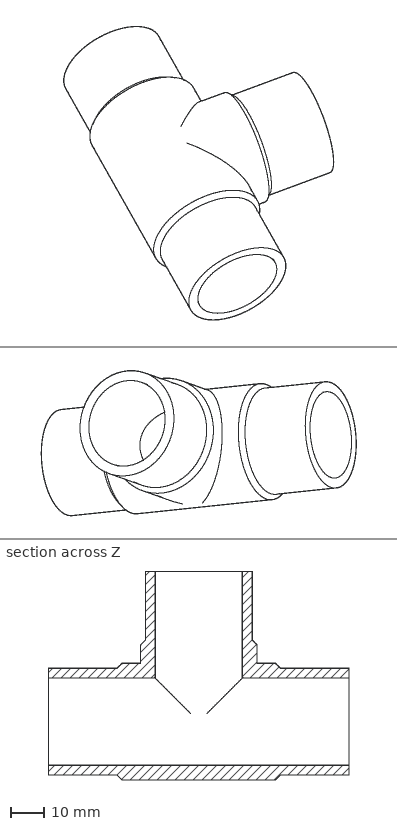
import cadquery as cq

run_length = 90.0
spigot_length = 20.5
spigot_diameter = 32.0
body_diameter = 35.0
bore_diameter = 26.0

arm_length = run_length / 2
shoulder_distance = arm_length - spigot_length
shoulder_chamfer = (body_diameter - spigot_diameter) / 2


def run_cylinder(diameter, length):
    """Cylinder along X, centred on the tee centre."""
    return cq.Workplane("YZ").circle(diameter / 2).extrude(length / 2, both=True)


def branch_cylinder(diameter, length):
    """Cylinder along +Y, starting at the tee centre."""
    return cq.Workplane("XZ").circle(diameter / 2).extrude(-length)


run_body = run_cylinder(body_diameter, 2 * shoulder_distance).faces("<X or >X").chamfer(shoulder_chamfer)
branch_body = branch_cylinder(body_diameter, shoulder_distance).faces(">Y").chamfer(shoulder_chamfer)

run_spigots = run_cylinder(spigot_diameter, run_length)
branch_spigot = branch_cylinder(spigot_diameter, arm_length)

tee = run_body.union(branch_body).union(run_spigots).union(branch_spigot)

run_bore = run_cylinder(bore_diameter, run_length)
branch_bore = branch_cylinder(bore_diameter, arm_length)
result = tee.cut(run_bore).cut(branch_bore)